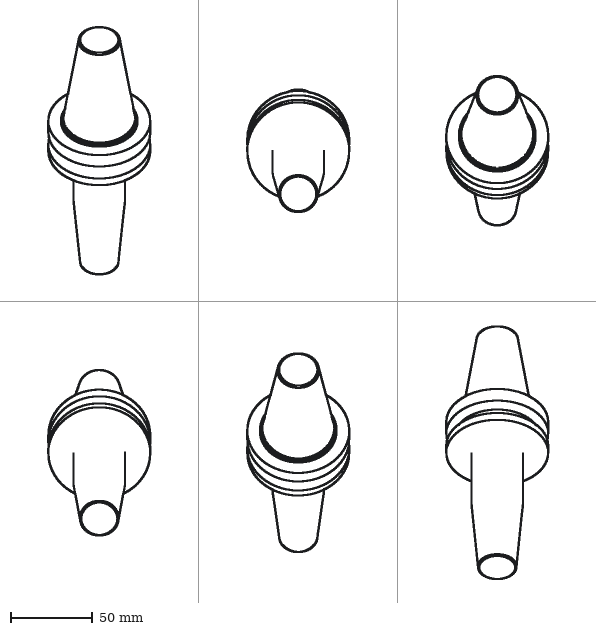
import cadquery as cq

total_length = 185.4

taper_length = 65.5
gauge_radius = 22.2
taper_slope = 7 / 48
taper_top_radius = gauge_radius - taper_length * taper_slope
taper_chamfer = 1.0
gauge_band_bottom = -0.5

neck_radius = 21.7
relief_outer_radius = 23.7
relief_floor_radius = 23.0
relief_depth = 0.5

flange_radius = 31.5
flange_top = -2.0
flange_bottom = -27.0
groove_floor_radius = 26.5
groove_top = -11.5
groove_bottom = -21.5
groove_flank_height = 3.0
groove_fillet = 1.1
groove_floor_top = groove_top - groove_flank_height
groove_floor_bottom = groove_bottom + groove_flank_height

shank_radius = 16.0
shank_fillet = 1.0
nose_taper_start = -68.8
nose_radius = 11.9
nose_chamfer = 0.7
nose_end = taper_length - total_length
nose_slope = (shank_radius - nose_radius) / (nose_taper_start - nose_end)
nose_chamfer_radius = nose_radius + nose_chamfer * nose_slope

selection_margin = 0.2


def drive_taper_points():
    """Half outline of the chamfered taper, from the axis down to its gauge band."""
    return [
        (0, taper_length),
        (taper_top_radius - taper_chamfer, taper_length),
        (taper_top_radius + taper_chamfer * taper_slope, taper_length - taper_chamfer),
        (gauge_radius, 0),
        (gauge_radius, gauge_band_bottom),
    ]


def relief_points():
    """Half outline of the neck and the ring-shaped recess around it."""
    relief_floor = flange_top - relief_depth
    return [
        (neck_radius, gauge_band_bottom),
        (neck_radius, relief_floor),
        (relief_floor_radius, relief_floor),
        (relief_outer_radius, flange_top),
    ]


def flange_points():
    """Half outline of the flange rim with its gripper groove."""
    return [
        (flange_radius, flange_top),
        (flange_radius, groove_top),
        (groove_floor_radius, groove_floor_top),
        (groove_floor_radius, groove_floor_bottom),
        (flange_radius, groove_bottom),
        (flange_radius, flange_bottom),
    ]


upper_points = drive_taper_points() + relief_points() + flange_points()
profile = (
    cq.Workplane("XZ")
    .polyline(upper_points)
    .lineTo(shank_radius + shank_fillet, flange_bottom)
    .radiusArc((shank_radius, flange_bottom - shank_fillet), -shank_fillet)
    .lineTo(shank_radius, nose_taper_start)
    .lineTo(nose_chamfer_radius, nose_end + nose_chamfer)
    .lineTo(nose_radius - nose_chamfer, nose_end)
    .lineTo(0, nose_end)
    .close()
)

body = profile.revolve(360, (0, 0, 0), (0, 1, 0))

groove_corner = cq.selectors.BoxSelector(
    (-flange_radius, -flange_radius, groove_floor_bottom - selection_margin),
    (flange_radius, flange_radius, groove_floor_bottom + selection_margin),
)
result = body.edges("%CIRCLE").edges(groove_corner).fillet(groove_fillet)